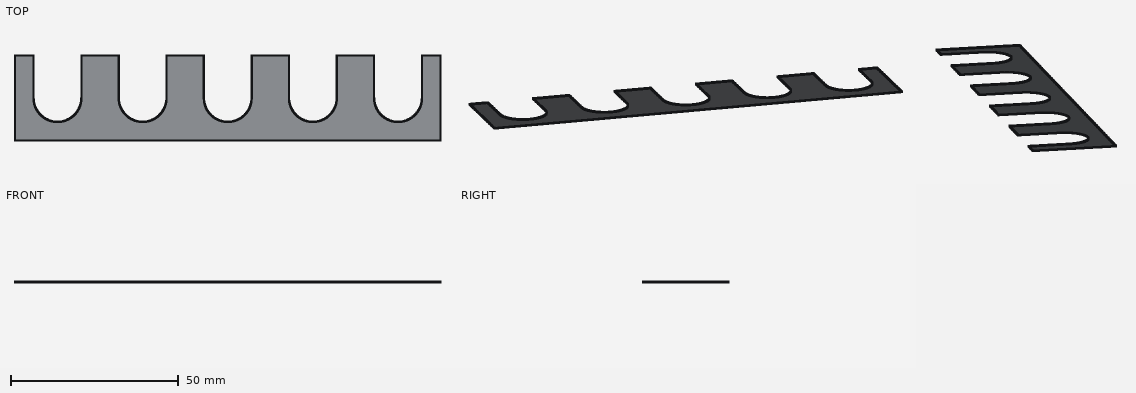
import cadquery as cq

slot_count = 5
pitch = 25.4
plate_depth = 25.4
thickness = 0.25
slot_width = 14.2

plate_length = slot_count * pitch
slot_radius = slot_width / 2
slot_center_y = plate_depth / 2


def make_plate():
    """Flat plate with one corner at the origin."""
    return cq.Workplane("XY").box(plate_length, plate_depth, thickness, centered=False)


def make_slot(center_x):
    """Cutter for a U-shaped slot, round at the bottom and open at the +Y edge."""
    left = center_x - slot_radius
    right = center_x + slot_radius
    return (
        cq.Workplane("XY")
        .moveTo(left, plate_depth)
        .lineTo(left, slot_center_y)
        .threePointArc((center_x, slot_center_y - slot_radius), (right, slot_center_y))
        .lineTo(right, plate_depth)
        .close()
        .extrude(thickness)
    )


result = make_plate()
for index in range(slot_count):
    result = result.cut(make_slot((index + 0.5) * pitch))